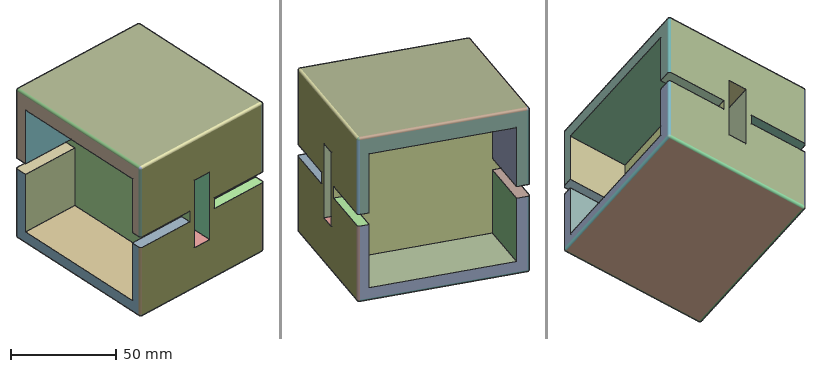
import cadquery as cq

width = 88.0
depth = 79.5
height = 87.8
edge_radius = 1.2

left_wall = 7.0
right_wall = 5.8
floor_thickness = 7.0
roof_thickness = 9.2
web_thickness = 16.0

slit_height = 6.2

slot_width = 9.7
slot_height = 39.7

pocket_depth = (depth - web_thickness) / 2
pocket_width = width - left_wall - right_wall
pocket_height = height - floor_thickness - roof_thickness
pocket_center_x = (left_wall - right_wall) / 2
pocket_center_z = (floor_thickness - roof_thickness) / 2


def make_block():
    """Solid block with every outer edge rounded."""
    return cq.Workplane("XY").box(width, depth, height).edges().fillet(edge_radius)


def make_end_opening(side):
    """Pocket and wall slits cut in from one open face (side is -1 or +1 along Y)."""
    center_y = side * (web_thickness + pocket_depth) / 2
    pocket = cq.Workplane("XY").box(pocket_width, pocket_depth, pocket_height)
    pocket = pocket.translate((pocket_center_x, center_y, pocket_center_z))
    slit = cq.Workplane("XY").box(width, pocket_depth, slit_height)
    slit = slit.translate((0, center_y, 0))
    return pocket.union(slit)


def make_web_slot():
    """Slot passing through the full width of the web."""
    return cq.Workplane("XY").box(width, slot_width, slot_height)


result = make_block()
for side in (-1, 1):
    result = result.cut(make_end_opening(side))
result = result.cut(make_web_slot())